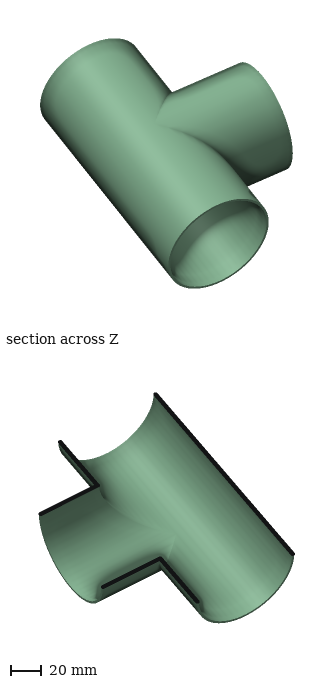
import cadquery as cq

run_length = 165.1
outer_diameter = 76.3
inner_diameter = 73.0
branch_reach = run_length / 2


def tee(diameter):
    """Solid tee made of two cylinders of equal diameter with crossing axes."""
    radius = diameter / 2
    run = cq.Workplane("YZ").circle(radius).extrude(run_length / 2, both=True)
    branch = cq.Workplane("XZ").circle(radius).extrude(-branch_reach)
    return run.union(branch)


result = tee(outer_diameter).cut(tee(inner_diameter))